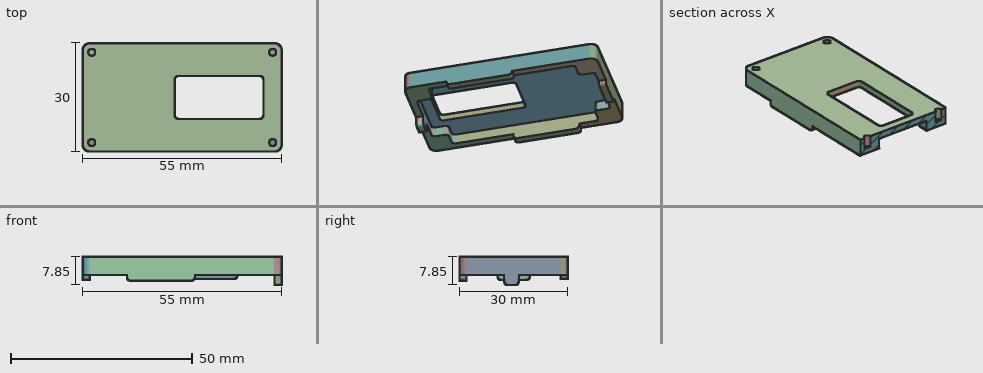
import cadquery as cq

length = 55.0
width = 30.0
body_height = 5.05
wall = 2.05
top_thickness = 2.0
corner_radius = wall

window_length = 24.4
window_width = 11.75
window_right_margin = 5.1
window_radius = 1.0

post_reach = 6.6
post_radius = 1.0
hole_diameter = 1.9
hole_depth = 3.3
hole_inset = 2.55

tab_radius = 1.0
side_tab_length = 18.8
side_tab_offset = 5.9
front_tab_drop = 1.6
back_tab_drop = 1.1
left_tab_width = 9.0
left_tab_drop = 1.4
right_tab_width = 4.0
right_tab_offset = -0.6
right_tab_drop = 2.8


def block(size_x, size_y, z_top, z_bottom, center=(0, 0)):
    """Upright box between two heights, centred on the given XY point."""
    return (
        cq.Workplane("XY", origin=(center[0], center[1], z_bottom))
        .rect(size_x, size_y)
        .extrude(z_top - z_bottom)
    )


def make_cavity():
    """Cross-shaped hollow left between the walls and the four corner posts."""
    long_arm = block(length - 2 * wall, width - 2 * post_reach, -top_thickness, -body_height)
    wide_arm = block(length - 2 * post_reach, width - 2 * wall, -top_thickness, -body_height)
    return long_arm.union(wide_arm).edges("|Z").fillet(post_radius)


def make_tab(size_x, size_y, drop, center, rounded_edges):
    """Tab below a wall, with its two lower end edges rounded."""
    tab = block(size_x, size_y, -body_height, -body_height - drop, center)
    return tab.faces("<Z").edges(rounded_edges).fillet(tab_radius)


cover = block(length, width, 0, -body_height).edges("|Z").fillet(corner_radius)
cover = cover.cut(make_cavity())

window_x = length / 2 - window_right_margin - window_length / 2
window = block(window_length, window_width, 0, -top_thickness, (window_x, 0))
cover = cover.cut(window.edges("|Z").fillet(window_radius))

cover = cover.cut(
    cq.Workplane("XY")
    .rect(length - 2 * hole_inset, width - 2 * hole_inset, forConstruction=True)
    .vertices()
    .circle(hole_diameter / 2)
    .extrude(-hole_depth)
)

wall_x = (length - wall) / 2
wall_y = (width - wall) / 2
tabs = [
    make_tab(side_tab_length, wall, front_tab_drop, (-side_tab_offset, -wall_y), "|Y"),
    make_tab(side_tab_length, wall, back_tab_drop, (side_tab_offset, wall_y), "|Y"),
    make_tab(wall, left_tab_width, left_tab_drop, (-wall_x, 0), "|X"),
    make_tab(wall, right_tab_width, right_tab_drop, (wall_x, right_tab_offset), "|X"),
]
for tab in tabs:
    cover = cover.union(tab)

result = cover